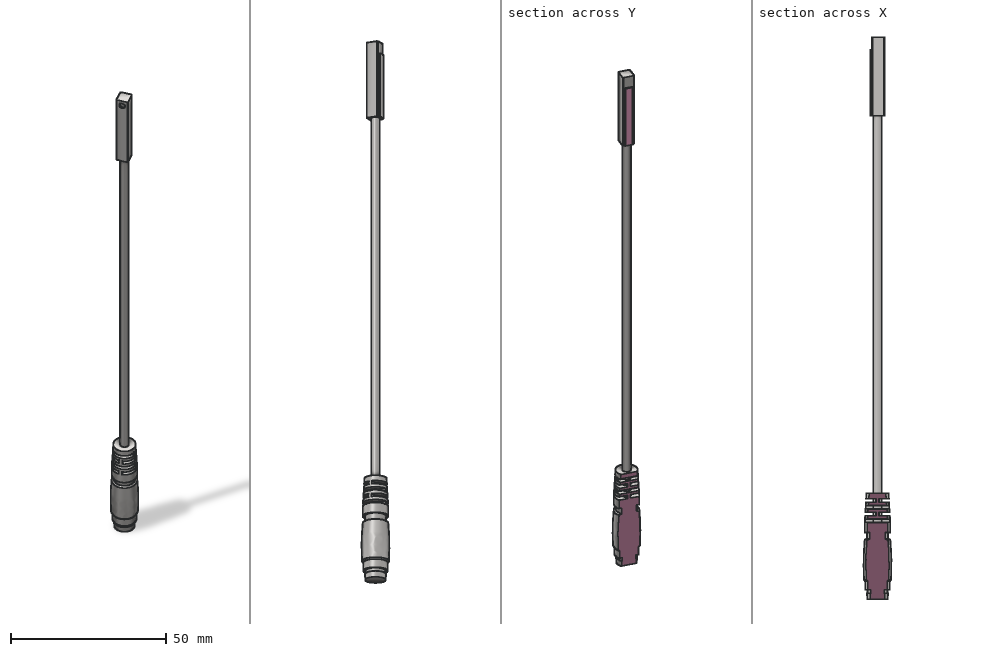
import cadquery as cq

TOTAL_LENGTH = 181.0

HEAD_LENGTH = 25.3
HEAD_WIDTH = 4.0
HEAD_FRONT = -2.4
HEAD_BACK = 1.8
HEAD_CHAMFER = 0.27
RIB_WIDTH = 2.5
RIB_HEIGHT = 0.5
RIB_SETBACK = 4.0
WINDOW_DIAMETER = 2.0
WINDOW_DEPTH = 0.5
WINDOW_DROP = 2.0

CABLE_RADIUS = 1.5

SNAP_RADIUS = 3.5
SNAP_TOP = 2.0
FACE_RADIUS = SNAP_RADIUS - 0.09
NOSE_GROOVE_RADIUS = 3.3
NOSE_GROOVE_TOP = 3.0
COLLAR_RADIUS = 4.0
COLLAR_TOP = 5.8

GRIP_RADIUS = 4.5
GRIP_WIDEST = 11.2
GRIP_BOTTOM = 6.3
GRIP_BOTTOM_RADIUS = GRIP_RADIUS - 0.15
GRIP_SHOULDER = 19.2
GRIP_SHOULDER_RADIUS = 4.2
GRIP_TOP = 19.5
NECK_RADIUS = 3.5
NECK_TOP = 21.5

SLEEVE_RADIUS = 4.2
SLEEVE_TOP = 24.2
PLUG_TOP = 34.2
PLUG_TOP_RADIUS = 3.6
GROOVE_COUNT = 4
GROOVE_WIDTH = 1.0
GROOVE_PITCH = 2 * GROOVE_WIDTH
FIRST_GROOVE = 24.8
WEB_THICKNESS = 1.0

HEAD_BOTTOM = TOTAL_LENGTH - HEAD_LENGTH


def make_head():
    """Chamfered bar with a rib on its back that stops short of the tip, and a round window in its front."""
    plane = cq.Workplane("XY", origin=(0, 0, HEAD_BOTTOM))
    depth = HEAD_BACK - HEAD_FRONT
    bar = (
        plane.center(0, HEAD_FRONT + depth / 2)
        .rect(HEAD_WIDTH, depth)
        .extrude(HEAD_LENGTH)
        .edges("|Z")
        .chamfer(HEAD_CHAMFER)
    )
    rib_depth = HEAD_BACK + RIB_HEIGHT
    rib = plane.center(0, rib_depth / 2).rect(RIB_WIDTH, rib_depth).extrude(HEAD_LENGTH - RIB_SETBACK)
    window = (
        cq.Workplane("XZ", origin=(0, HEAD_FRONT, TOTAL_LENGTH - WINDOW_DROP))
        .circle(WINDOW_DIAMETER / 2)
        .extrude(-WINDOW_DEPTH)
    )
    return bar.union(rib).cut(window)


def make_plug():
    """Turned plug, drawn as a half outline (radius, height) from the face upwards."""
    return (
        cq.Workplane("XZ")
        .lineTo(FACE_RADIUS, 0)
        .lineTo(SNAP_RADIUS, SNAP_TOP)
        .lineTo(NOSE_GROOVE_RADIUS, SNAP_TOP)
        .lineTo(NOSE_GROOVE_RADIUS, NOSE_GROOVE_TOP)
        .lineTo(COLLAR_RADIUS, NOSE_GROOVE_TOP)
        .lineTo(COLLAR_RADIUS, COLLAR_TOP)
        .lineTo(GRIP_BOTTOM_RADIUS, GRIP_BOTTOM)
        .threePointArc((GRIP_RADIUS, GRIP_WIDEST), (GRIP_SHOULDER_RADIUS, GRIP_SHOULDER))
        .lineTo(NECK_RADIUS, GRIP_TOP)
        .lineTo(NECK_RADIUS, NECK_TOP)
        .lineTo(SLEEVE_RADIUS, NECK_TOP)
        .lineTo(SLEEVE_RADIUS, SLEEVE_TOP)
        .lineTo(PLUG_TOP_RADIUS, PLUG_TOP)
        .lineTo(0, PLUG_TOP)
        .close()
        .revolve(360, (0, 0), (0, 1))
    )


def make_groove(index):
    """Ring groove down to the cable, bridged by a web along Y or, in every second groove, along X."""
    span = 2 * SLEEVE_RADIUS
    web_size = (WEB_THICKNESS, span) if index % 2 == 0 else (span, WEB_THICKNESS)
    plane = cq.Workplane("XY", origin=(0, 0, FIRST_GROOVE + index * GROOVE_PITCH))
    ring = plane.circle(SLEEVE_RADIUS).circle(CABLE_RADIUS).extrude(GROOVE_WIDTH)
    web = plane.rect(*web_size).extrude(GROOVE_WIDTH)
    return ring.cut(web)


def make_corded_plug():
    """Plug with its strain relief grooves and the cable moulded into it."""
    corded_plug = make_plug()
    for index in range(GROOVE_COUNT):
        corded_plug = corded_plug.cut(make_groove(index))
    cable = (
        cq.Workplane("XY", origin=(0, 0, PLUG_TOP))
        .circle(CABLE_RADIUS)
        .extrude(HEAD_BOTTOM - PLUG_TOP)
    )
    return corded_plug.union(cable)


head = make_head()
corded_plug = make_corded_plug()
result = cq.Compound.makeCompound([head.val(), corded_plug.val()])